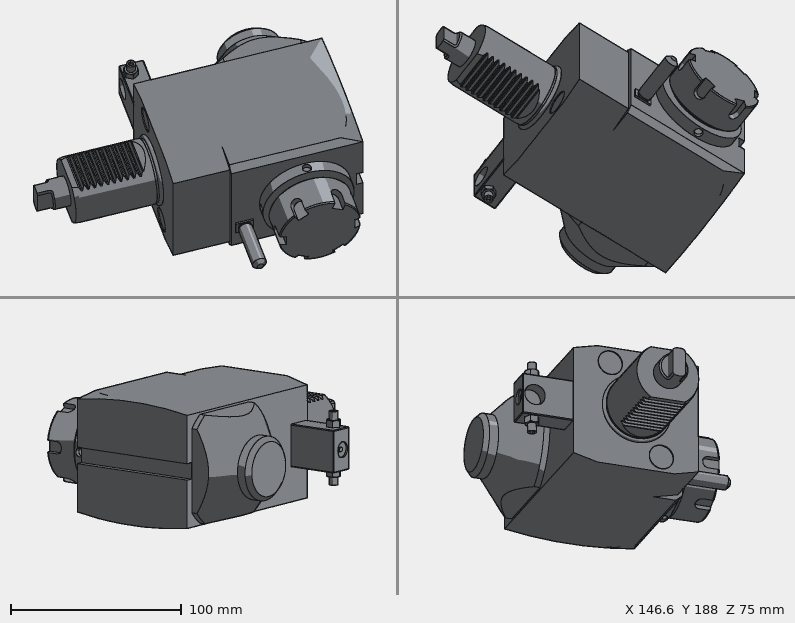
import cadquery as cq


height = 75.0
half_height = height / 2
depth = 115.6
base_half_width = 39.1
head_right = 42.1
edge_half_height = 33.8
side_chamfer_width = 15.0
head_chamfer_width = 4.0
step_y = 34.8
slot_width = 9.8
slot_depth = 4.0
rear_crown_height = 37.0
bevel_left_run = 11.8
bevel_right_run = 12.5
bevel_crown_run = 3.4
bevel_crown_x = 12.8
bevel_flank_run = 5.6
bevel_left_flank_x = -4.1
bevel_right_flank_x = 27.3
plug_radius = 7.5
plug_recess = 0.8
plug_places = [(-16.0, 27.8), (16.0, -27.8)]

spindle_y = 79.7
cover_radius = 40.2
cover_flange = 3.8
cover_flat_z = 32.5
cover_flat_slope = 0.27
cover_flat_y = 31.4
cap_radius = 19.2
cap_chamfer = 2.8
cap_end_x = -71.8
cap_cone_end_x = -63.4
spacer_radius = 24.5
ring_radius = 28.0
ring_start_x = 43.0
ring_end_x = 50.2
ring_hole_radius = 2.6
ring_hole_depth = 2.8
ring_hole_count = 4
neck_radius = 21.5
nut_diameter = 50.2
nut_radius = nut_diameter / 2
nut_start_x = 52.0
nut_end_x = 74.8
nut_bevel_x = 73.0
nut_bevel_radius = 24.6
nut_face_radius = 18.5
nut_edge = 1.0
nut_slot_count = 6
nut_slot_width = 7.3
nut_slot_floor = 21.0
nut_slot_start_x = 62.2

pin_y = 42.7
pin_z = -17.5
pin_radius = 4.3
pin_end_x = 74.5
pin_tip_chamfer = 2.3
pin_neck_radius = 4.0
pin_neck_end_x = 44.4
pin_key_length = 1.1
pin_key_width = 10.9

block_left = -70.7
block_front = 0.5
block_back = 15.8
block_half_height = 12.8
block_edge = 0.5
block_hole_x = -63.0
front_hole_radius = 6.4
front_hole_depth = 8.3
front_hole_point = 3.8
side_hole_radius = 4.7
side_hole_depth = 1.1
side_hole_y = 7.1
side_bore_radius = 1.3
screw_y = 5.8
screw_radius = 2.6
screw_end_z = 22.0
screw_socket = 3.0
screw_socket_depth = 1.9
hex_sides = 6
hex_corner_diameter = 9.0
hex_corner_break = 0.5
hex_end_z = 17.0

collar_radius = 21.5
collar_length = 2.5
shank_neck_radius = 19.5
shank_radius = 20.0
shank_start_y = -3.8
shank_end_y = -53.4
shank_chamfer_length = 3.0
shank_chamfer_depth = 0.5
tooth_top_z = 16.2
tooth_root_z = 14.5
tooth_land = 0.8
tooth_count = 10
tooth_row_length = 36.1
tooth_pitch = tooth_row_length / (tooth_count - 1)
first_tooth_y = -10.0
drive_radius = 9.0
tongue_start_y = -64.0
tongue_end_y = -72.4
tongue_half_width = 4.0
tongue_fillet = 1.1
tongue_chamfer = 1.0


def box(x0, x1, y0, y1, z0, z1):
    return cq.Workplane("XY").box(x1 - x0, y1 - y0, z1 - z0, centered=False).translate((x0, y0, z0))


def cylinder(start, direction, radius, length):
    return cq.Workplane(obj=cq.Solid.makeCylinder(radius, length, cq.Vector(*start), cq.Vector(*direction)))


def cone(start, direction, radius, length):
    return cq.Workplane(obj=cq.Solid.makeCone(radius, 0, length, cq.Vector(*start), cq.Vector(*direction)))


def mirrored_z(shape):
    return shape.union(shape.mirror("XY"))


def prism_y(upper_outline, y0, y1):
    """Extrude along Y an outline given by its upper half, left to right as (x, z) points."""
    lower_outline = [(x, -z) for x, z in reversed(upper_outline)]
    profile = cq.Workplane("XZ").polyline(upper_outline + lower_outline).close()
    return profile.extrude(y0 - y1).translate((0, y0, 0))


def turned_x(profile):
    """Turn (x, radius) points about the spindle axis."""
    x0, x1 = profile[0][0], profile[-1][0]
    outline = cq.Workplane("XY").polyline([(x0, 0)] + profile + [(x1, 0)]).close()
    return outline.revolve(360, (0, 0, 0), (1, 0, 0)).translate((0, spindle_y, 0))


left_top = (-base_half_width + side_chamfer_width, half_height)
left_edge = (-base_half_width, edge_half_height)
head_top_x = head_right - head_chamfer_width


def rear_bevel():
    """Material above the bowed surface that slopes from the top face down to the rear face."""
    rear_edge = cq.Edge.makeThreePointArc(
        cq.Vector(-base_half_width, depth, edge_half_height),
        cq.Vector((head_right - base_half_width) / 2, depth, rear_crown_height),
        cq.Vector(head_right, depth, edge_half_height),
    )
    top_edge = cq.Edge.makeSpline([
        cq.Vector(left_top[0], depth - bevel_left_run, half_height),
        cq.Vector(bevel_left_flank_x, depth - bevel_flank_run, half_height),
        cq.Vector(bevel_crown_x, depth - bevel_crown_run, half_height),
        cq.Vector(bevel_right_flank_x, depth - bevel_flank_run, half_height),
        cq.Vector(head_top_x, depth - bevel_right_run, half_height),
    ])
    surface = cq.Face.makeRuledSurface(rear_edge, top_edge)
    return cq.Workplane(obj=cq.Solid.extrudeLinear(surface, cq.Vector(0, 0, half_height - edge_half_height)))


def housing():
    base = prism_y(
        [left_edge, left_top, (-left_top[0], half_height), (base_half_width, edge_half_height)], 0, step_y
    )
    head = prism_y(
        [left_edge, left_top, (head_top_x, half_height), (head_right, edge_half_height)], step_y, depth
    )
    body = base.union(head).cut(mirrored_z(rear_bevel()))
    body = body.cut(box(
        -base_half_width, head_right, depth - slot_depth, depth, -slot_width / 2, slot_width / 2
    ))
    for x, z in plug_places:
        body = body.cut(cylinder((x, 0, z), (0, 1, 0), plug_radius, plug_recess))
    return body


def spindle_cover():
    cone_start_x = -base_half_width - cover_flange
    cover = turned_x([
        (cap_cone_end_x, cap_radius),
        (cone_start_x, cover_radius),
        (-base_half_width, cover_radius),
    ])
    flat_drop = (cone_start_x - cap_end_x) * cover_flat_slope
    flat_outline = [
        (cap_end_x, cover_flat_z - flat_drop),
        (cone_start_x, cover_flat_z),
        (-base_half_width, cover_flat_z),
    ]
    cover = cover.intersect(prism_y(flat_outline, spindle_y - cover_radius, spindle_y + cover_flat_y))
    cap = turned_x([
        (cap_end_x, cap_radius - cap_chamfer),
        (cap_end_x + cap_chamfer, cap_radius),
        (cap_cone_end_x, cap_radius),
    ])
    return cover.union(cap)


def collet_nut():
    nut = turned_x([
        (head_right, spacer_radius),
        (ring_start_x, spacer_radius),
        (ring_start_x, ring_radius),
        (ring_end_x, ring_radius),
        (ring_end_x, neck_radius),
        (nut_start_x, neck_radius),
        (nut_start_x, nut_radius - nut_edge),
        (nut_start_x + nut_edge, nut_radius),
        (nut_bevel_x - nut_edge, nut_radius),
        (nut_bevel_x, nut_bevel_radius),
        (nut_end_x, nut_face_radius),
    ])
    axis = ((0, spindle_y, 0), (1, spindle_y, 0))
    hole_x = (ring_start_x + ring_end_x) / 2
    hole_rim = (hole_x, spindle_y, ring_radius)
    hole_floor = (hole_x, spindle_y, ring_radius - ring_hole_depth)
    hole = cylinder(hole_rim, (0, 0, -1), ring_hole_radius, ring_hole_depth)
    hole = hole.union(cone(hole_floor, (0, 0, -1), ring_hole_radius, ring_hole_radius))
    for i in range(ring_hole_count):
        nut = nut.cut(hole.rotate(*axis, 360 / ring_hole_count * i))

    slot_radius = nut_slot_width / 2
    slot_round_x = nut_slot_start_x + slot_radius
    slot = box(
        slot_round_x, nut_end_x,
        spindle_y - slot_radius, spindle_y + slot_radius,
        nut_slot_floor, nut_radius,
    ).union(cylinder(
        (slot_round_x, spindle_y, nut_slot_floor), (0, 0, 1), slot_radius, nut_radius - nut_slot_floor
    ))
    slot_step = 360 / nut_slot_count
    for i in range(nut_slot_count):
        nut = nut.cut(slot.rotate(*axis, slot_step * (i + 0.5)))
    return nut


def locating_pin():
    start = (head_right, pin_y, pin_z)
    shoulder = (pin_neck_end_x, pin_y, pin_z)
    pin = cylinder(shoulder, (1, 0, 0), pin_radius, pin_end_x - pin_neck_end_x)
    pin = pin.faces(">X").chamfer(pin_tip_chamfer)
    neck = cylinder(start, (1, 0, 0), pin_neck_radius, pin_neck_end_x - head_right)
    key = box(
        head_right, head_right + pin_key_length,
        pin_y - pin_key_width / 2, pin_y + pin_key_width / 2,
        pin_z - pin_neck_radius, pin_z + pin_neck_radius,
    )
    return pin.union(neck).union(key)


def coolant_block():
    block = box(block_left, -base_half_width, block_front, block_back, -block_half_height, block_half_height)
    block = block.edges("(<X or <Y or >Y or <Z or >Z) and (not >X)").chamfer(block_edge)

    front_hole = cylinder((block_hole_x, block_front, 0), (0, 1, 0), front_hole_radius, front_hole_depth)
    front_hole = front_hole.union(cone(
        (block_hole_x, block_front + front_hole_depth, 0), (0, 1, 0), front_hole_radius, front_hole_point
    ))
    side_hole_start = (block_left, side_hole_y, 0)
    side_hole = cylinder(side_hole_start, (1, 0, 0), side_hole_radius, side_hole_depth)
    side_bore = cylinder(side_hole_start, (1, 0, 0), side_bore_radius, block_hole_x - block_left)
    return block.cut(front_hole).cut(side_hole).cut(side_bore)


def clamp_screws():
    nut = cq.Workplane("XY").workplane(offset=block_half_height).polygon(hex_sides, hex_corner_diameter)
    nut = nut.extrude(hex_end_z - block_half_height)
    rounding = cylinder(
        (0, 0, block_half_height), (0, 0, 1), hex_corner_diameter / 2, hex_end_z - block_half_height
    )
    nut = nut.intersect(rounding.faces(">Z").chamfer(hex_corner_break))
    screw = cq.Workplane("XY").workplane(offset=block_half_height).circle(screw_radius)
    screw = screw.extrude(screw_end_z - block_half_height)
    screw = nut.union(screw)
    screw = screw.faces(">Z").workplane().polygon(hex_sides, screw_socket).cutBlind(-screw_socket_depth)
    return mirrored_z(screw.translate((block_hole_x, screw_y, 0)))


def serration_cutter():
    """Space above the toothed flat: a 45 degree run-in, a row of teeth and a plain end."""
    flank = (tooth_pitch - 2 * tooth_land) / 2
    ramp_height = collar_radius - tooth_top_z
    first_land_y = first_tooth_y + tooth_land / 2
    points = [(first_land_y + ramp_height, collar_radius), (first_land_y, tooth_top_z)]
    for i in range(tooth_count):
        land_end_y = first_tooth_y - i * tooth_pitch - tooth_land / 2
        points += [
            (land_end_y, tooth_top_z),
            (land_end_y - flank, tooth_root_z),
            (land_end_y - flank - tooth_land, tooth_root_z),
            (land_end_y - 2 * flank - tooth_land, tooth_top_z),
        ]
    points += [(shank_end_y, tooth_top_z), (shank_end_y, collar_radius)]
    profile = cq.Workplane("YZ").polyline(points).close()
    return profile.extrude(shank_radius, both=True)


def tongue_side():
    """Space beside the drive tongue, rounded at its root."""
    side = box(
        tongue_half_width, drive_radius, tongue_end_y, tongue_start_y, -drive_radius, drive_radius
    )
    return side.edges("<X and >Y").fillet(tongue_fillet)


def shank():
    rim_round = collar_length / 2
    rim_center_radius = collar_radius - rim_round
    collar = cq.Workplane("XY").lineTo(rim_center_radius, 0)
    collar = collar.threePointArc((collar_radius, -rim_round), (rim_center_radius, -collar_length))
    collar = collar.lineTo(0, -collar_length).close().revolve(360, (0, 0, 0), (0, 1, 0))

    profile = [
        (0, 0),
        (shank_neck_radius, 0),
        (shank_neck_radius, shank_start_y),
        (shank_radius, shank_start_y),
        (shank_radius, shank_end_y + shank_chamfer_length),
        (shank_radius - shank_chamfer_depth, shank_end_y),
        (drive_radius, shank_end_y),
        (drive_radius, tongue_end_y),
        (0, tongue_end_y),
    ]
    body = cq.Workplane("XY").polyline(profile).close().revolve(360, (0, 0, 0), (0, 1, 0))
    body = body.union(collar).cut(mirrored_z(serration_cutter()))
    body = body.cut(tongue_side()).cut(tongue_side().mirror("YZ"))
    tongue_corners = cq.selectors.BoxSelector(
        (-drive_radius, tongue_end_y, -drive_radius),
        (drive_radius, tongue_start_y - tongue_fillet, drive_radius),
    )
    return body.edges("|Y").edges(tongue_corners).chamfer(tongue_chamfer)


parts = [spindle_cover(), collet_nut(), locating_pin(), coolant_block(), clamp_screws(), shank()]
result = housing()
for part in parts:
    result = result.union(part)